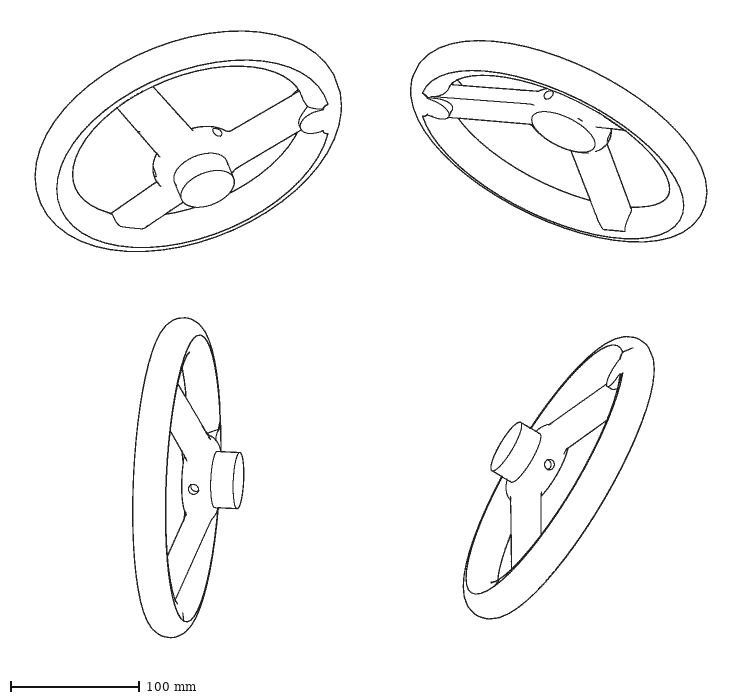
import cadquery as cq
import math

rim_radius = 125
grip_radius = 13.0
grip_centre_radius = rim_radius - grip_radius
inner_grip_depth = 16.8
inner_grip_half_width = 12.8
rim_width = 2 * grip_radius

hub_radius = 35
hub_mid_x = 33.0
hub_shoulder_radius = 11.5
hub_face_radius = 27.0
hub_back_radius = 26.2
boss_diameter = 44.0
boss_end_x = 62.0

spoke_count = 3
spoke_angle = 360 / spoke_count
spoke_axis_x = 43.8
spoke_root_reach = 22.5
spoke_lean = math.degrees(math.atan(1 / 3))
spoke_end_reach = 106.0
spoke_root_width = 34.2
spoke_end_width = 32.5
spoke_thickness = 14.8
spoke_root_fillet = 4.0

lug_centre_y = 101.2
lug_radius = 13.8
lug_flare_radius = 5.5

hole_diameter = 8.0
hole_depth = 10
drill_point_angle = 118


def revolve_about_axis(profile):
    return profile.revolve(360, (0, 0, 0), (1, 0, 0))


def make_rim():
    outer = (
        cq.Workplane("XY")
        .moveTo(0, grip_centre_radius)
        .threePointArc((grip_radius, rim_radius), (rim_width, grip_centre_radius))
        .close()
    )
    inner = (
        cq.Workplane("XY")
        .moveTo(grip_radius - inner_grip_half_width, grip_centre_radius)
        .ellipseArc(inner_grip_half_width, inner_grip_depth, 180, 360, startAtCurrent=True)
        .close()
    )
    return revolve_about_axis(outer).union(revolve_about_axis(inner))


def shoulder_offset(radius):
    """Axial distance from the hub middle to where its shoulder reaches a radius."""
    drop = radius - (hub_radius - hub_shoulder_radius)
    return math.sqrt(hub_shoulder_radius**2 - drop**2)


hub_face_x = hub_mid_x - shoulder_offset(hub_face_radius)
hub_back_x = hub_mid_x + shoulder_offset(hub_back_radius)


def make_hub():
    profile = (
        cq.Workplane("XY")
        .moveTo(hub_face_x, 0)
        .lineTo(hub_face_x, hub_face_radius)
        .radiusArc((hub_mid_x, hub_radius), hub_shoulder_radius)
        .radiusArc((hub_back_x, hub_back_radius), hub_shoulder_radius)
        .lineTo(hub_back_x, 0)
        .close()
    )
    return revolve_about_axis(profile)


def make_shaft_boss():
    base = cq.Workplane("YZ", origin=(hub_mid_x, 0, 0))
    return base.circle(boss_diameter / 2).extrude(boss_end_x - hub_mid_x)


def spoke_section(plane, width, flat_front):
    """Section with round sides; a flat front keeps the front half square."""
    half_thickness = spoke_thickness / 2
    side = width / 2
    flat = side - half_thickness
    bulge = half_thickness * math.sqrt(0.5)
    back = (
        plane.moveTo(-side, 0)
        .threePointArc((-flat - bulge, bulge), (-flat, half_thickness))
        .lineTo(flat, half_thickness)
        .threePointArc((flat + bulge, bulge), (side, 0))
    )
    if flat_front:
        return back.lineTo(side, -half_thickness).lineTo(-side, -half_thickness).close()
    return (
        back.threePointArc((flat + bulge, -bulge), (flat, -half_thickness))
        .lineTo(-flat, -half_thickness)
        .threePointArc((-flat - bulge, -bulge), (-side, 0))
        .close()
    )


def make_spoke(flat_front):
    """Spoke along +Y; the section's local y runs towards the back of the wheel."""
    lean = math.radians(spoke_lean)
    length = (spoke_end_reach - spoke_root_reach) / math.cos(lean)
    root_x = spoke_axis_x - spoke_root_reach * math.tan(lean)
    direction = cq.Vector(-math.sin(lean), math.cos(lean), 0)
    root_plane = cq.Plane(origin=(root_x, spoke_root_reach, 0), xDir=(0, 0, 1), normal=direction.toTuple())
    root = spoke_section(cq.Workplane(root_plane), spoke_root_width, flat_front)
    return spoke_section(root.workplane(offset=length), spoke_end_width, flat_front).loft(ruled=True)


def make_lug():
    """Round-nosed handle pad through the rim width, flaring out where it meets the rim."""
    flare_half_width = lug_radius + lug_flare_radius
    flare_start_y = grip_centre_radius - lug_flare_radius
    pad = (
        cq.Workplane("YZ")
        .moveTo(grip_centre_radius, -flare_half_width)
        .radiusArc((flare_start_y, -lug_radius), lug_flare_radius)
        .lineTo(lug_centre_y, -lug_radius)
        .threePointArc((lug_centre_y - lug_radius, 0), (lug_centre_y, lug_radius))
        .lineTo(flare_start_y, lug_radius)
        .radiusArc((grip_centre_radius, flare_half_width), lug_flare_radius)
        .close()
        .extrude(rim_width)
    )
    inside_rim = cq.Workplane("YZ").circle(grip_centre_radius).extrude(rim_width)
    return pad.intersect(inside_rim)


def make_hole():
    """Drilled hole along -Y with a conical bottom."""
    radius = hole_diameter / 2
    clear_of_hub = hub_radius + hole_diameter
    bottom = hub_radius - hole_depth
    tip = bottom - radius / math.tan(math.radians(drill_point_angle / 2))
    profile = (
        cq.Workplane("XY", origin=(hub_mid_x, 0, 0))
        .moveTo(0, -tip)
        .lineTo(radius, -bottom)
        .lineTo(radius, -clear_of_hub)
        .lineTo(0, -clear_of_hub)
        .close()
    )
    return profile.revolve(360, (0, 0, 0), (0, 1, 0))


def around_axis(shape, index):
    return shape.rotate((0, 0, 0), (1, 0, 0), index * spoke_angle)


def blend_spoke_roots(shape):
    """Fillet the seams between spokes and hub, which all lie close to the hub's surface."""
    seam_tolerance = 0.5

    def is_root_seam(edge):
        points = [edge.positionAt(t) for t in (0, 0.5, 1)]
        near_hub = all(math.hypot(p.y, p.z) < hub_radius + seam_tolerance for p in points)
        return near_hub and edge.geomType() not in ("CIRCLE", "LINE")

    seams = [edge for edge in shape.edges().vals() if is_root_seam(edge)]
    return shape.newObject(seams).fillet(spoke_root_fillet)


body = make_hub()
for index in range(spoke_count):
    body = body.union(around_axis(make_spoke(flat_front=index == 0), index))

body = blend_spoke_roots(body)
result = body.union(make_shaft_boss()).union(make_rim()).union(make_lug())
for index in range(spoke_count):
    result = result.cut(around_axis(make_hole(), index))